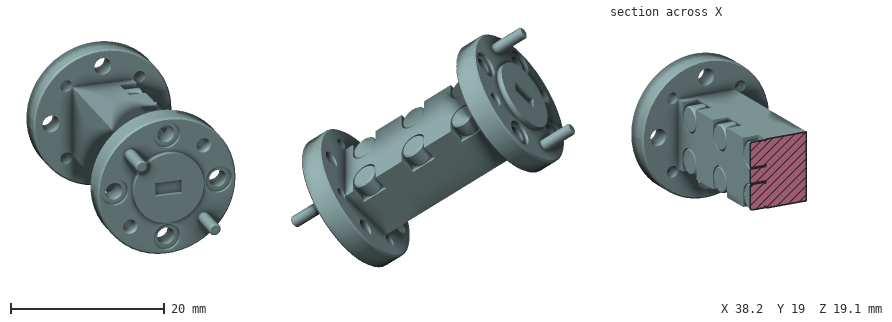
import cadquery as cq
import math

TOTAL_LENGTH = 38.23

BODY_WIDTH = 8.4
BODY_HEIGHT = 9.55

FLANGE_DIAMETER = 19.05
FLANGE_THICKNESS = 3.2
FLANGE_OUTER_X = 14.45
FLANGE_CHAMFER = 0.23
FLANGE_FLAT_WIDTH = 1.45

BOSS_DIAMETER = 9.65
BOSS_HEIGHT = 0.8
OPENING_WIDTH = 3.75
OPENING_HEIGHT = 1.87
OPENING_DEPTH = 0.65

BOLT_CIRCLE_RADIUS = 7.15
BOLT_HOLE_DIAMETER = 2.35
COUNTERBORE_DIAMETER = 3.65
COUNTERBORE_DEPTH = 0.45
PIN_DIAMETER = 1.6
PIN_CHAMFER = 0.2
PIN_HOLE_RIM_CHAMFER = 0.2
PIN_RECESS = FLANGE_THICKNESS / 2
BOLT_ANGLES = (0, 90, 180, 270)
PIN_ANGLE = 135

SCREW_COUNT = 3
SCREW_PITCH = 8.15
SLOT_WIDTH = 3.75
SLOT_DEPTH = 2.3
HEAD_DIAMETER = 3.6
HEAD_CHAMFER = 0.2
SCREW_Z = 2.9

FLANGE_INNER_X = FLANGE_OUTER_X - FLANGE_THICKNESS
BOSS_X = FLANGE_OUTER_X + BOSS_HEIGHT


def cylinder_x(diameter, x_start, x_end, y=0.0, z=0.0):
    """Cylinder parallel to X."""
    return (
        cq.Workplane("YZ", origin=(x_start, y, z))
        .circle(diameter / 2)
        .extrude(x_end - x_start)
    )


def bolt_circle_point(angle):
    """Y and Z of a place on the bolt circle, with the angle in degrees from +Y."""
    turn = math.radians(angle)
    return BOLT_CIRCLE_RADIUS * math.cos(turn), BOLT_CIRCLE_RADIUS * math.sin(turn)


def bolt_hole(angle):
    """Through hole with a counterbore in the outer face."""
    y, z = bolt_circle_point(angle)
    hole = cylinder_x(BOLT_HOLE_DIAMETER, FLANGE_INNER_X, FLANGE_OUTER_X, y, z)
    counterbore = cylinder_x(
        COUNTERBORE_DIAMETER, FLANGE_OUTER_X - COUNTERBORE_DEPTH, FLANGE_OUTER_X, y, z
    )
    return hole.union(counterbore)


def mating_pin_hole(angle):
    """Through hole, its outer rim countersunk, for a pin of the mating flange."""
    y, z = bolt_circle_point(angle)
    hole = cylinder_x(PIN_DIAMETER, FLANGE_INNER_X, FLANGE_OUTER_X, y, z)
    rim_diameter = PIN_DIAMETER + 2 * PIN_HOLE_RIM_CHAMFER
    countersink = (
        cq.Workplane("YZ", origin=(FLANGE_OUTER_X, y, z))
        .circle(rim_diameter / 2)
        .workplane(offset=-PIN_HOLE_RIM_CHAMFER)
        .circle(PIN_DIAMETER / 2)
        .loft()
    )
    return hole.union(countersink)


def rim_flat():
    """Material outside the narrow flat on the -Y side of the flange rim."""
    radius = FLANGE_DIAMETER / 2
    flat_y = -math.sqrt(radius**2 - (FLANGE_FLAT_WIDTH / 2) ** 2)
    return (
        cq.Workplane("YZ", origin=(FLANGE_INNER_X, 0, 0))
        .center((flat_y - radius) / 2, 0)
        .rect(radius + flat_y, FLANGE_FLAT_WIDTH)
        .extrude(FLANGE_THICKNESS)
    )


def make_flange(pin_angle):
    """Flange of the +X end, with its boss and two opposite pins, one at pin_angle."""
    flange = cylinder_x(FLANGE_DIAMETER, FLANGE_INNER_X, FLANGE_OUTER_X)
    flange = flange.faces("<X or >X").chamfer(FLANGE_CHAMFER)
    flange = flange.cut(rim_flat())
    flange = flange.union(cylinder_x(BOSS_DIAMETER, FLANGE_OUTER_X, BOSS_X))
    opening = cq.Workplane("XY").box(2 * OPENING_DEPTH, OPENING_WIDTH, OPENING_HEIGHT)
    flange = flange.cut(opening.translate((BOSS_X, 0, 0)))
    for angle in BOLT_ANGLES:
        flange = flange.cut(bolt_hole(angle))
    for angle in (pin_angle + 90, pin_angle + 270):
        flange = flange.cut(mating_pin_hole(angle))
    for angle in (pin_angle, pin_angle + 180):
        y, z = bolt_circle_point(angle)
        pin_start = FLANGE_INNER_X + PIN_RECESS
        flange = flange.cut(cylinder_x(PIN_DIAMETER, FLANGE_INNER_X, pin_start, y, z))
        pin = cylinder_x(PIN_DIAMETER, pin_start, TOTAL_LENGTH / 2, y, z)
        flange = flange.union(pin.faces(">X").chamfer(PIN_CHAMFER))
    return flange


def screw_slot():
    """U-shaped slot at the top edge, entered from the +Y face."""
    half_width = SLOT_WIDTH / 2
    top = BODY_HEIGHT / 2
    return (
        cq.Workplane("XZ", origin=(0, BODY_WIDTH / 2, 0))
        .moveTo(-half_width, top)
        .lineTo(-half_width, SCREW_Z)
        .threePointArc((0, SCREW_Z - half_width), (half_width, SCREW_Z))
        .lineTo(half_width, top)
        .close()
        .extrude(SLOT_DEPTH)
    )


def screw_head():
    """Round screw head reaching from the slot floor to the +Y face."""
    return (
        cq.Workplane("XZ", origin=(0, BODY_WIDTH / 2, SCREW_Z))
        .circle(HEAD_DIAMETER / 2)
        .extrude(SLOT_DEPTH)
        .faces("<Y or >Y")
        .chamfer(HEAD_CHAMFER)
    )


def make_body():
    """Block with a row of sunk screws along its top and bottom edges."""
    body = cq.Workplane("XY").box(2 * FLANGE_INNER_X, BODY_WIDTH, BODY_HEIGHT)
    for index in range(SCREW_COUNT):
        x = (index - (SCREW_COUNT - 1) / 2) * SCREW_PITCH
        slot = screw_slot().translate((x, 0, 0))
        head = screw_head().translate((x, 0, 0))
        body = body.cut(slot).cut(slot.mirror("XY"))
        body = body.union(head).union(head.mirror("XY"))
    return body


right_flange = make_flange(PIN_ANGLE)
left_flange = make_flange(PIN_ANGLE - 90).mirror("YZ")
result = make_body().union(right_flange).union(left_flange)